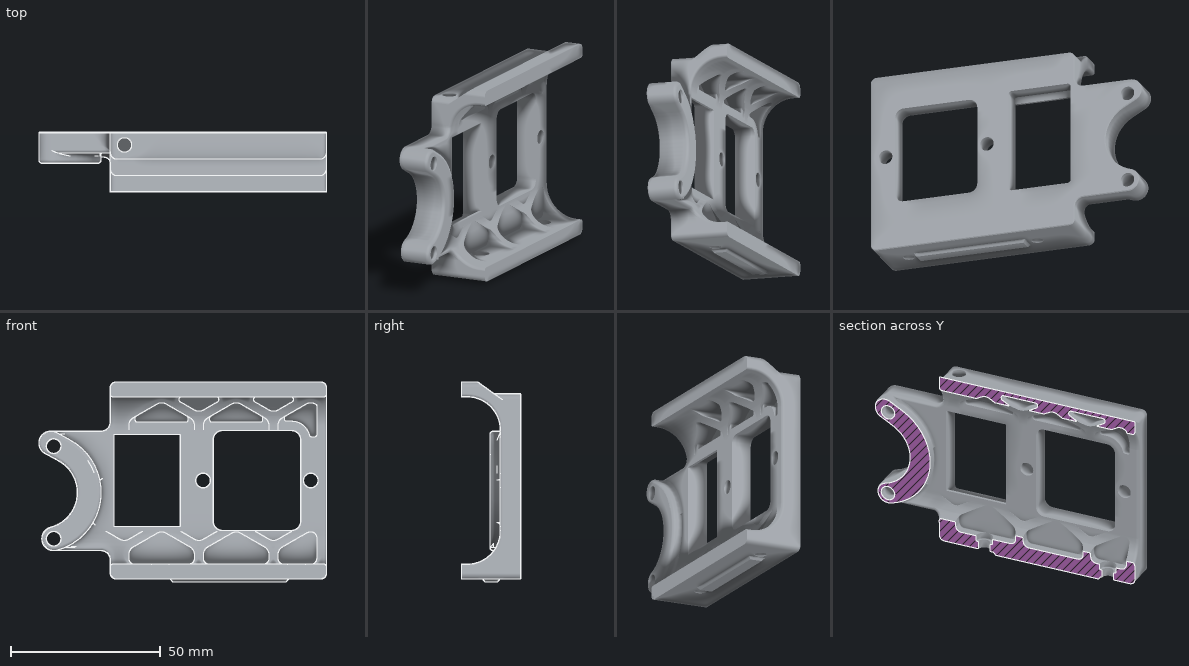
import cadquery as cq
import math

TOTAL_LENGTH = 96.15
DEPTH = 20.0
HEIGHT = 65.9
PLATE = 7.0
FLANGE = 5.0
CHANNEL_RADIUS = 11.0
BACK_HEIGHT = 61.9
STEP_DEPTH = 9.0
SLOPE_END_DEPTH = 14.5
CORNER_RADIUS = 2.0
EDGE_ROUND = 1.0
BACK_CHAMFER = 0.3
OVERCUT = 1.0
TOLERANCE = 0.01

HOOK_X = -23.0
HOOK_Z = 28.9
HOOK_OUTER = 20.0
HOOK_INNER = 12.0
HOOK_DEPTH = 10.5
HOOK_ROUND = 1.2
LOWER_ANGLE = 75.0
UPPER_ANGLE = 61.5
STRAIGHT_LENGTH = 5.1
ARM_FILLET = 3.0
FOOT_ROUND = 1.0
HOLE_DIAMETER = 4.8

hook_mid = (HOOK_OUTER + HOOK_INNER) / 2
bar_half = (HOOK_OUTER - HOOK_INNER) / 2


def on_hook(radius, angle):
    """Point (x, z) at a distance and angle in degrees from the hook centre."""
    turn = math.radians(angle)
    return HOOK_X + radius * math.cos(turn), HOOK_Z + radius * math.sin(turn)


def along_straight(point):
    """Move a point (x, z) to the far end of the hook's straight run."""
    turn = math.radians(UPPER_ANGLE)
    return point[0] - STRAIGHT_LENGTH * math.sin(turn), point[1] + STRAIGHT_LENGTH * math.cos(turn)


upper_end = along_straight(on_hook(hook_mid, UPPER_ANGLE))
lower_end = on_hook(hook_mid, -LOWER_ANGLE)
arm_top = upper_end[1] + bar_half
arm_bottom = lower_end[1] - bar_half
body_length = TOTAL_LENGTH + (upper_end[0] - bar_half)
mid_height = HEIGHT / 2
sweep_start = HOOK_X - HOOK_OUTER - OVERCUT

HEX_WIDTH = 21.9
HEX_WALL = 3.0
HEX_CORNER_RADIUS = 3.0
FIRST_HEX_X = 17.2
FIRST_HEX_Z = 3.6
POCKET_RIGHT = 69.0
POCKET_CORNER_RADIUS = 1.9
hex_pitch = HEX_WIDTH + HEX_WALL
hex_row_rise = hex_pitch * math.sqrt(3) / 2
lower_row_x = [FIRST_HEX_X + i * hex_pitch for i in range(3)]
shifted_row_x = [x - hex_pitch / 2 for x in lower_row_x]

DEEP_FLOOR = 3.0
DEEP_CORNER_RADIUS = 0.8
DEEP_HALF_WIDTH = 8.8
DEEP_BOTTOM = 52.4
HIGH_HALF_WIDTH = 6.6
WINDOW_MARGIN = 3.2
TAIL_BOTTOM = 47.5

SQUARE_LEFT = 1.3
SQUARE_WIDTH = 22.0
SQUARE_HEIGHT = 30.6
LIP = 1.0
LIP_HEIGHT = 2.5
SEAT_CORNER_RADIUS = 1.1
ROUND_WINDOW_X = 49.0
ROUND_WINDOW_WIDTH = 29.1
ROUND_WINDOW_HEIGHT = 33.3
ROUND_WINDOW_RADIUS = 3.0
PLATE_HOLE_SPACING = 36.0
TOP_HOLE_X = 4.8
TOP_HOLE_DEPTH = 4.3
TOP_HOLE_LENGTH = 9.6
FLOOR_HOLE_X = (16.7, 62.3)
FLOOR_HOLE_DIAMETER = 4.0
COUNTERBORE_DIAMETER = 6.0
COUNTERBORE_DEPTH = 2.0

RAIL_LEFT = 20.1
RAIL_LENGTH = 39.5
RAIL_WIDTH = 5.9
RAIL_HEIGHT = 1.0
RAIL_TAPER = 40.0


def front_plane(depth=0.0):
    """Workplane in X and Z that extrudes toward -Y, starting at the given depth."""
    return cq.Workplane("XZ", origin=(0, -depth, 0))


def box(x_range, z_range, start=-OVERCUT, end=DEPTH + OVERCUT):
    """Block between two X values, two Z values and two depths."""
    size = (x_range[1] - x_range[0], z_range[1] - z_range[0])
    middle = (sum(x_range) / 2, sum(z_range) / 2)
    return front_plane(start).center(*middle).rect(*size).extrude(end - start)


def profile(foot_depth, foot_height, has_step):
    """Channel section swept along the whole part.

    The slope on top runs down to the given foot. With a step, the top stays level behind
    the foot; without one, the foot lies on the back face.
    """
    flat_depth = PLATE + CHANNEL_RADIUS
    cove_low = FLANGE + CHANNEL_RADIUS
    cove_high = HEIGHT - FLANGE - CHANNEL_RADIUS
    reach = CHANNEL_RADIUS * math.sqrt(0.5)
    section = (
        cq.Workplane("YZ", origin=(sweep_start, 0, 0))
        .moveTo(0, 0)
        .lineTo(-DEPTH, 0)
        .lineTo(-DEPTH, FLANGE)
        .lineTo(-flat_depth, FLANGE)
        .threePointArc((-flat_depth + reach, cove_low - reach), (-PLATE, cove_low))
        .lineTo(-PLATE, cove_high)
        .threePointArc((-flat_depth + reach, cove_high + reach), (-flat_depth, HEIGHT - FLANGE))
        .lineTo(-DEPTH, HEIGHT - FLANGE)
        .lineTo(-DEPTH, HEIGHT)
        .lineTo(-SLOPE_END_DEPTH, HEIGHT)
        .lineTo(-foot_depth, foot_height)
    )
    if has_step:
        section = section.lineTo(0, foot_height)
    return section.close().extrude(body_length - sweep_start)


def outline(height):
    """Front outline of arm and body, rounded at its corners, through the full depth."""
    plate = (
        front_plane()
        .polyline(
            [
                lower_end,
                (lower_end[0], arm_bottom),
                (0, arm_bottom),
                (0, 0),
                (body_length, 0),
                (body_length, height),
                (0, height),
                (0, arm_top),
                (upper_end[0], arm_top),
                upper_end,
            ]
        )
        .close()
        .extrude(DEPTH)
    )
    corners = []
    elbows = []
    for edge in plate.edges("|Y").vals():
        middle = edge.Center()
        on_arm = arm_bottom - TOLERANCE < middle.z < arm_top + TOLERANCE
        if not on_arm:
            corners.append(edge)
        elif abs(middle.x) < TOLERANCE:
            elbows.append(edge)
    rounded = plate.newObject(corners).fillet(CORNER_RADIUS)
    return rounded.newObject(elbows).fillet(ARM_FILLET)


def is_channel_end(edge):
    """True for the edges where the channel surface meets the sides of the outline."""
    middle = edge.Center()
    runs_along_x = edge.BoundingBox().xlen > TOLERANCE and edge.geomType() == "LINE"
    on_arm = min(abs(middle.z - arm_top), abs(middle.z - arm_bottom)) < TOLERANCE
    inside = PLATE - TOLERANCE < -middle.y < DEPTH - TOLERANCE
    between = FLANGE - TOLERANCE < middle.z < HEIGHT - FLANGE + TOLERANCE
    right_of_hook = middle.x > lower_end[0] + TOLERANCE
    return inside and between and right_of_hook and (on_arm or not runs_along_x)


def make_body():
    """Channel and arm, with the sloped top, low back step and rounded channel ends."""
    slope_run = SLOPE_END_DEPTH - STEP_DEPTH
    slope_rise = HEIGHT - BACK_HEIGHT
    foot_height = HEIGHT - slope_rise * SLOPE_END_DEPTH / slope_run
    tall = outline(HEIGHT).intersect(profile(0, foot_height, False))
    low = outline(BACK_HEIGHT).intersect(profile(STEP_DEPTH, BACK_HEIGHT, True))
    body = tall.union(low)
    ends = [edge for edge in body.edges().vals() if is_channel_end(edge)]
    body = body.newObject(ends).fillet(EDGE_ROUND)
    opening = front_plane().center(HOOK_X, HOOK_Z).circle(hook_mid).extrude(DEPTH)
    return body.cut(opening)


def make_hook():
    """Arc bar with one straight run, round ends and a rounded front edge."""
    inner_top = on_hook(HOOK_INNER, UPPER_ANGLE)
    outer_top = on_hook(HOOK_OUTER, UPPER_ANGLE)
    cap_turn = math.radians(UPPER_ANGLE)
    cap_tip = (
        upper_end[0] - bar_half * math.sin(cap_turn),
        upper_end[1] + bar_half * math.cos(cap_turn),
    )
    lower_turn = math.radians(LOWER_ANGLE)
    lower_tip = (
        lower_end[0] - bar_half * math.sin(lower_turn),
        lower_end[1] - bar_half * math.cos(lower_turn),
    )
    return (
        front_plane()
        .moveTo(*on_hook(HOOK_INNER, -LOWER_ANGLE))
        .threePointArc(on_hook(HOOK_INNER, 0), inner_top)
        .lineTo(*along_straight(inner_top))
        .threePointArc(cap_tip, along_straight(outer_top))
        .lineTo(*outer_top)
        .threePointArc(on_hook(HOOK_OUTER, 0), on_hook(HOOK_OUTER, -LOWER_ANGLE))
        .threePointArc(lower_tip, on_hook(HOOK_INNER, -LOWER_ANGLE))
        .close()
        .extrude(HOOK_DEPTH)
        .faces("<Y")
        .edges()
        .fillet(HOOK_ROUND)
    )


def make_hook_foot():
    """Concave round where the hook's outer wall rises from the arm."""
    right = HOOK_X + HOOK_OUTER + 2 * FOOT_ROUND
    lower_half = profile(STEP_DEPTH, BACK_HEIGHT, True).intersect(box((sweep_start, right), (0, HOOK_Z)))
    upper_half = box((sweep_start, right), (HOOK_Z, HEIGHT), 0, PLATE)
    disc = front_plane().center(HOOK_X, HOOK_Z).circle(HOOK_OUTER).extrude(HOOK_DEPTH)
    stepped = lower_half.union(upper_half).union(disc).clean()
    foot_line = []
    for edge in stepped.edges().vals():
        middle = edge.positionAt(0.5)
        on_wall = abs(math.hypot(middle.x - HOOK_X, middle.z - HOOK_Z) - HOOK_OUTER) < TOLERANCE
        above_plate = PLATE - TOLERANCE < -middle.y < HOOK_DEPTH - TOLERANCE
        if on_wall and above_plate and edge.geomType() != "LINE":
            foot_line.append(edge)
    rounded = stepped.newObject(foot_line).fillet(FOOT_ROUND)
    flat_range = (arm_bottom + EDGE_ROUND, arm_top - EDGE_ROUND)
    return rounded.cut(stepped).intersect(box((HOOK_X, right), flat_range))


def hexagon(x, z, depth):
    """Honeycomb cell with a vertex up, cut from the front down to the given depth."""
    radius = HEX_WIDTH / math.sqrt(3)
    turns = [math.radians(60 * i) for i in range(6)]
    points = [(x + radius * math.sin(turn), z + radius * math.cos(turn)) for turn in turns]
    cell = front_plane(depth).polyline(points).close().extrude(DEPTH + OVERCUT - depth)
    return cell.edges("|Y").fillet(HEX_CORNER_RADIUS)


def clipped(cell, x_range, z_range, radius):
    """Part of a cell inside a rectangle, with the corners that lie on its sides rounded."""
    piece = cell.intersect(box(x_range, z_range))
    cut_corners = []
    for edge in piece.edges("|Y").vals():
        middle = edge.Center()
        on_side = min(abs(middle.x - x) for x in x_range) < TOLERANCE
        on_level = min(abs(middle.z - z) for z in z_range) < TOLERANCE
        if on_side or on_level:
            cut_corners.append(edge)
    return piece.newObject(cut_corners).fillet(radius)


def round_window(margin, start):
    """Tool for the rounded window, grown outward by a margin."""
    return (
        front_plane(start)
        .center(ROUND_WINDOW_X, mid_height)
        .rect(ROUND_WINDOW_WIDTH + 2 * margin, ROUND_WINDOW_HEIGHT + 2 * margin)
        .extrude(DEPTH + OVERCUT - start)
        .edges("|Y")
        .fillet(ROUND_WINDOW_RADIUS + margin)
    )


def lower_pockets():
    """Full cells standing on the lower flange, open down to the plate."""
    cells = []
    for x in lower_row_x:
        x_range = (x - HEX_WIDTH, min(x + HEX_WIDTH, POCKET_RIGHT))
        cell = hexagon(x, FIRST_HEX_Z, PLATE)
        cells.append(clipped(cell, x_range, (FLANGE, HEIGHT), POCKET_CORNER_RADIUS))
    return cells


def plate_cells():
    """Cells of the next two rows, which only clear the cove down to the plate."""
    cells = [hexagon(x, FIRST_HEX_Z + hex_row_rise, PLATE) for x in shifted_row_x]
    for x in lower_row_x:
        cell = hexagon(x, FIRST_HEX_Z + 2 * hex_row_rise, PLATE)
        cells.append(cell.intersect(box((0, POCKET_RIGHT), (0, HEIGHT))))
    return cells


def deep_pockets():
    """Pockets under the upper flange that go past the plate's front face."""
    cells = []
    keep_clear = round_window(WINDOW_MARGIN, 0)
    for x in lower_row_x:
        cell = hexagon(x, FIRST_HEX_Z + 2 * hex_row_rise, DEEP_FLOOR)
        at_end = x + DEEP_HALF_WIDTH > POCKET_RIGHT
        x_range = (x - DEEP_HALF_WIDTH, min(x + DEEP_HALF_WIDTH, POCKET_RIGHT))
        bottom = TAIL_BOTTOM if at_end else DEEP_BOTTOM
        if at_end:
            cell = cell.cut(keep_clear)
        cells.append(clipped(cell, x_range, (bottom, HEIGHT), DEEP_CORNER_RADIUS))
    for x in shifted_row_x[1:]:
        cell = hexagon(x, FIRST_HEX_Z + 3 * hex_row_rise, DEEP_FLOOR)
        x_range = (x - HIGH_HALF_WIDTH, x + HIGH_HALF_WIDTH)
        cells.append(clipped(cell, x_range, (0, HEIGHT - FLANGE), DEEP_CORNER_RADIUS))
    return cells


def square_window():
    """Sharp front opening with a taller seat behind a thin lip."""
    x_range = (SQUARE_LEFT, SQUARE_LEFT + SQUARE_WIDTH)
    low = mid_height - SQUARE_HEIGHT / 2
    high = mid_height + SQUARE_HEIGHT / 2
    opening = box(x_range, (low, high))
    seat = box(x_range, (low - LIP_HEIGHT, high + LIP_HEIGHT), end=PLATE - LIP)
    return opening.union(seat.edges("|Y").fillet(SEAT_CORNER_RADIUS))


def plate_holes():
    """Two holes beside the rounded window and one through each end of the hook."""
    points = [(ROUND_WINDOW_X + side * PLATE_HOLE_SPACING / 2, mid_height) for side in (-1, 1)]
    points += [on_hook(hook_mid, angle) for angle in (-LOWER_ANGLE, LOWER_ANGLE)]
    return front_plane(-OVERCUT).pushPoints(points).circle(HOLE_DIAMETER / 2).extrude(DEPTH)


def top_hole():
    """Blind hole down from the low step along the back."""
    return (
        cq.Workplane("XY", origin=(TOP_HOLE_X, -TOP_HOLE_DEPTH, BACK_HEIGHT - TOP_HOLE_LENGTH))
        .circle(HOLE_DIAMETER / 2)
        .extrude(TOP_HOLE_LENGTH + OVERCUT)
    )


def floor_holes():
    """Counterbored holes through the lower flange."""
    points = [(x, -DEPTH / 2) for x in FLOOR_HOLE_X]
    shanks = (
        cq.Workplane("XY", origin=(0, 0, -RAIL_HEIGHT - OVERCUT))
        .pushPoints(points)
        .circle(FLOOR_HOLE_DIAMETER / 2)
        .extrude(FLANGE + RAIL_HEIGHT + OVERCUT)
    )
    heads = (
        cq.Workplane("XY", origin=(0, 0, FLANGE - COUNTERBORE_DEPTH))
        .pushPoints(points)
        .circle(COUNTERBORE_DIAMETER / 2)
        .extrude(COUNTERBORE_DEPTH + OVERCUT)
    )
    return shanks.union(heads)


def make_rail():
    """Tapered rail under the lower flange."""
    return (
        cq.Workplane("XY", origin=(RAIL_LEFT + RAIL_LENGTH / 2, -DEPTH / 2, 0))
        .rect(RAIL_LENGTH, RAIL_WIDTH)
        .extrude(-RAIL_HEIGHT, taper=RAIL_TAPER)
    )


part = make_body().union(make_hook_foot())
for cell in lower_pockets() + plate_cells() + deep_pockets():
    part = part.cut(cell)
part = part.union(make_hook())

back_rim = part.faces(">Y").val().outerWire().Edges()
part = part.newObject(back_rim).chamfer(BACK_CHAMFER)

part = part.union(make_rail())
part = part.cut(square_window())
part = part.cut(round_window(0, -OVERCUT))
part = part.cut(plate_holes())
part = part.cut(top_hole())
part = part.cut(floor_holes())

result = part